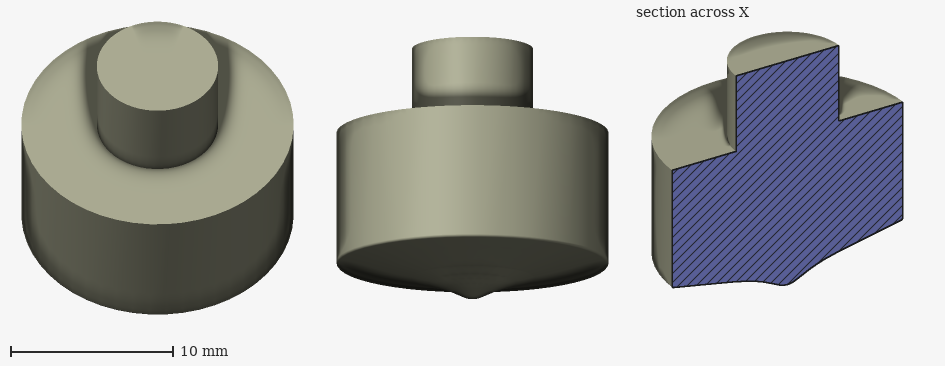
import cadquery as cq
import math

body_radius = 8.4
shank_radius = 3.75
total_height = 15.72
shank_length = 5.3

tip_radius = 1.35
edge_radius = 0.17
blend_outer_radius = 3.8
cone_angle = math.radians(11.0)
nose_angle = math.radians(28.0)

shoulder_height = total_height - shank_length


def arc_point(center, radius, angle):
    """Point on an arc whose tangent slopes by angle, below the center."""
    return (center[0] + radius * math.sin(angle), center[1] - radius * math.cos(angle))


nose_center = (0.0, tip_radius)
nose_mid = arc_point(nose_center, tip_radius, nose_angle / 2)
nose_end = arc_point(nose_center, tip_radius, nose_angle)

blend_radius = (blend_outer_radius - nose_end[0]) / (math.sin(nose_angle) - math.sin(cone_angle))
blend_center = arc_point(nose_end, blend_radius, nose_angle)
blend_mid = arc_point(blend_center, -blend_radius, (nose_angle + cone_angle) / 2)
blend_end = arc_point(blend_center, -blend_radius, cone_angle)

rim_center_x = body_radius - edge_radius
cone_end_x = rim_center_x + edge_radius * math.sin(cone_angle)
cone_end_z = blend_end[1] + (cone_end_x - blend_end[0]) * math.tan(cone_angle)
rim_center = (rim_center_x, cone_end_z + edge_radius * math.cos(cone_angle))
rim_mid = arc_point(rim_center, edge_radius, (cone_angle + math.pi / 2) / 2)
rim_end = (body_radius, rim_center[1])

profile = (
    cq.Workplane("XZ")
    .moveTo(0, 0)
    .threePointArc(nose_mid, nose_end)
    .threePointArc(blend_mid, blend_end)
    .lineTo(cone_end_x, cone_end_z)
    .threePointArc(rim_mid, rim_end)
    .lineTo(body_radius, shoulder_height)
    .lineTo(shank_radius, shoulder_height)
    .lineTo(shank_radius, total_height)
    .lineTo(0, total_height)
    .close()
)

result = profile.revolve(360, (0, 0, 0), (0, 1, 0))